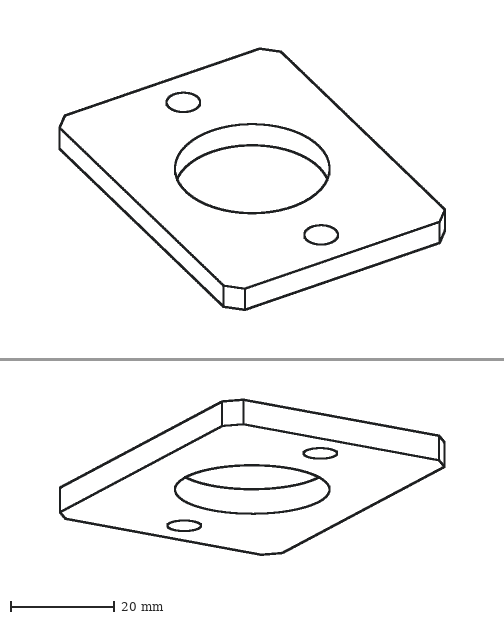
import cadquery as cq

length = 68.0
width = 50.0
thickness = 5.0
corner_chamfer = 3.0

bore_diameter = 30.0
mount_hole_diameter = 6.5
mount_hole_spacing = 52.0

plate = cq.Workplane("XY").box(length, width, thickness)
plate = plate.edges("|Z").chamfer(corner_chamfer)

plate = plate.faces(">Z").workplane(origin=(0, 0, 0)).hole(bore_diameter)

mount_hole_centers = [(side * mount_hole_spacing / 2, 0) for side in (-1, 1)]
result = (
    plate.faces(">Z")
    .workplane(origin=(0, 0, 0))
    .pushPoints(mount_hole_centers)
    .hole(mount_hole_diameter)
)